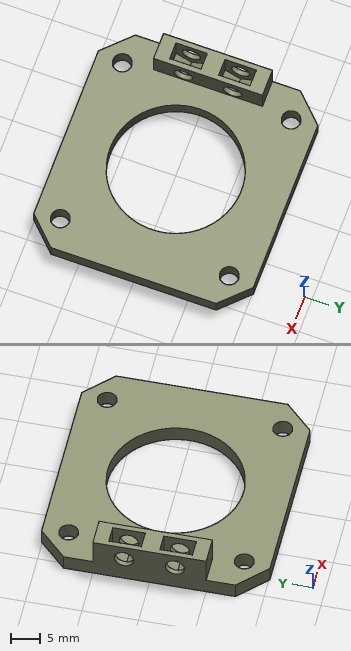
import cadquery as cq
import math

plate_length = 42.3
plate_width = 40.3
plate_thickness = 3.0
corner_chamfer = 5.0
bore_diameter = 24.0
hole_diameter = 3.4
mount_spacing = 31.0

total_height = 8.0
block_depth = 5.0
block_width = 20.0
screw_spacing = 9.0
screw_height = 5.0

nut_across_flats = 5.75
nut_thickness = 3.15
nut_wall = 0.95

edge_x = -plate_length / 2


def make_plate():
    return (
        cq.Workplane("XY")
        .box(plate_length, plate_width, plate_thickness, centered=(True, True, False))
        .edges("|Z")
        .chamfer(corner_chamfer)
        .faces(">Z")
        .workplane()
        .hole(bore_diameter)
        .faces(">Z")
        .workplane()
        .rect(mount_spacing, mount_spacing, forConstruction=True)
        .vertices()
        .hole(hole_diameter)
    )


def make_block():
    return (
        cq.Workplane("XY")
        .box(block_depth, block_width, total_height, centered=(False, True, False))
        .translate((edge_x, 0, 0))
    )


def make_screw_hole(y):
    return (
        cq.Workplane("YZ", origin=(edge_x, y, screw_height))
        .circle(hole_diameter / 2)
        .extrude(block_depth)
    )


def make_nut_pocket(y):
    half_flats = nut_across_flats / 2
    corner_radius = half_flats / math.cos(math.radians(30))
    side_drop = corner_radius / 2
    top = total_height - screw_height
    return (
        cq.Workplane("YZ", origin=(edge_x + nut_wall, y, screw_height))
        .polyline([
            (-half_flats, top),
            (-half_flats, -side_drop),
            (0, -corner_radius),
            (half_flats, -side_drop),
            (half_flats, top),
        ])
        .close()
        .extrude(nut_thickness)
    )


result = make_plate().union(make_block())
for screw_y in (-screw_spacing / 2, screw_spacing / 2):
    result = result.cut(make_screw_hole(screw_y)).cut(make_nut_pocket(screw_y))